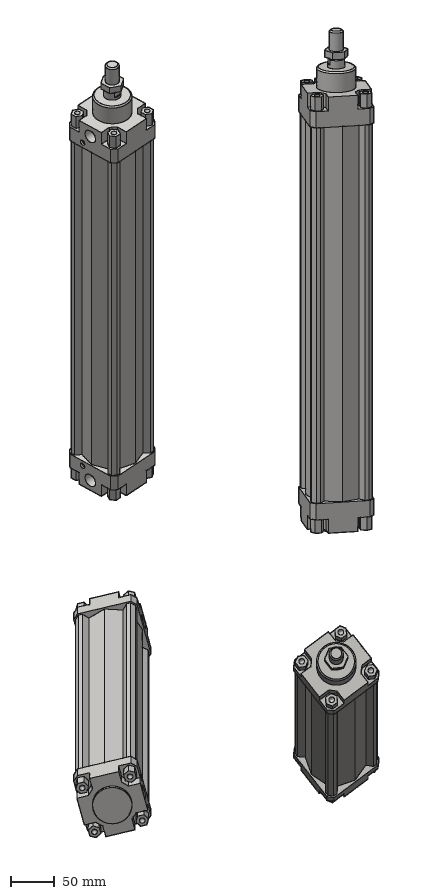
import cadquery as cq
import math

total_height = 594.0
rear_collar_height = 4.0
shoulder_z = 525.5
front_collar_top_z = 550.0
thread_start_z = 562.0

cap_width = 75.0
cap_height = 36.0
cap_corner_chamfer = 6.0
collar_diameter = 45.0
collar_chamfer = 2.0

pocket_depth = 16.5
pocket_inner_edge = 17.0
pocket_inner_chamfer = 6.5
screw_spacing = 56.5
screw_head_flats = 13.0
screw_recess_diameter = 6.5

port_diameter = 16.0
port_depth = 12.0
port_from_shoulder = 14.0
cushion_diameter = 6.5
cushion_depth = 3.0
cushion_offset_x = -12.0
cushion_from_shoulder = 29.0

tube_width = 71.0
tube_corner_chamfer = 5.0
pad_inner_edge = 26.0
groove_bottom_x = 20.0
groove_depth = 6.5

rod_diameter = 20.0
rod_flats = 17.0
flats_start_z = 553.5
thread_diameter = 16.0
thread_chamfer = 2.0

nut_flats = 24.0
nut_height = 8.5

half_cap = cap_width / 2
half_tube = tube_width / 2
half_screw_spacing = screw_spacing / 2
middle_z = (rear_collar_height + shoulder_z) / 2


def across_corners(across_flats):
    """Corner-to-corner size of a hexagon."""
    return across_flats / math.cos(math.pi / 6)


def make_corner_pocket():
    """Pocket at the (+X, +Y) corner of the front cap, with its inner corner cut off."""
    inner = pocket_inner_edge
    bevel = pocket_inner_edge + pocket_inner_chamfer
    return (
        cq.Workplane("XY", origin=(0, 0, shoulder_z - pocket_depth))
        .polyline([(inner, bevel), (bevel, inner), (half_cap, inner), (half_cap, half_cap), (inner, half_cap)])
        .close()
        .extrude(pocket_depth)
    )


def make_screw_head():
    """Hexagonal head with a conical recess in its top, standing in the (+X, +Y) pocket."""
    head = (
        cq.Workplane("XY", origin=(half_screw_spacing, half_screw_spacing, shoulder_z - pocket_depth))
        .polygon(6, across_corners(screw_head_flats))
        .extrude(pocket_depth)
    )
    recess_radius = screw_recess_diameter / 2
    recess = cq.Solid.makeCone(
        recess_radius,
        0,
        recess_radius,
        pnt=cq.Vector(half_screw_spacing, half_screw_spacing, shoulder_z),
        dir=cq.Vector(0, 0, -1),
    )
    return head.cut(cq.Workplane(obj=recess))


def drill_front_side(body, x, z, diameter, depth):
    """Blind hole from the -Y side of a cap."""
    hole = cq.Workplane("XZ", origin=(x, depth - half_cap, z)).circle(diameter / 2).extrude(depth)
    return body.cut(hole)


def make_front_cap():
    """Front cap without its collar; the rear cap is its mirror image."""
    cap = (
        cq.Workplane("XY", origin=(0, 0, shoulder_z - cap_height))
        .rect(cap_width, cap_width)
        .extrude(cap_height)
        .edges("|Z")
        .chamfer(cap_corner_chamfer)
    )
    pocket = make_corner_pocket()
    screw_head = make_screw_head()
    for corner in range(4):
        turn = 90 * corner
        cap = cap.cut(pocket.rotate((0, 0, 0), (0, 0, 1), turn))
        cap = cap.union(screw_head.rotate((0, 0, 0), (0, 0, 1), turn))
    cap = drill_front_side(cap, 0, shoulder_z - port_from_shoulder, port_diameter, port_depth)
    return drill_front_side(
        cap, cushion_offset_x, shoulder_z - cushion_from_shoulder, cushion_diameter, cushion_depth
    )


def make_tube():
    """Square profile with a shallow ridged groove along each side."""
    pad_outer_edge = half_tube - tube_corner_chamfer
    side = [
        (-pad_outer_edge, -half_tube),
        (-pad_inner_edge, -half_tube),
        (-groove_bottom_x, groove_depth - half_tube),
        (0, -half_tube),
        (groove_bottom_x, groove_depth - half_tube),
        (pad_inner_edge, -half_tube),
        (pad_outer_edge, -half_tube),
    ]
    outline = []
    for _ in range(4):
        outline += side
        side = [(-y, x) for x, y in side]
    tube_start_z = rear_collar_height + cap_height
    tube_length = shoulder_z - cap_height - tube_start_z
    return cq.Workplane("XY", origin=(0, 0, tube_start_z)).polyline(outline).close().extrude(tube_length)


def make_collars():
    """Plain rear collar and chamfered front collar."""
    collar_radius = collar_diameter / 2
    rear = cq.Workplane("XY").circle(collar_radius).extrude(rear_collar_height)
    front = (
        cq.Workplane("XY", origin=(0, 0, shoulder_z))
        .circle(collar_radius)
        .extrude(front_collar_top_z - shoulder_z)
        .faces(">Z")
        .chamfer(collar_chamfer)
    )
    return rear, front


def make_housing():
    front_cap = make_front_cap()
    rear_cap = front_cap.mirror("XY", (0, 0, middle_z))
    rear_collar, front_collar = make_collars()
    return make_tube().union(front_cap).union(rear_cap).union(rear_collar).union(front_collar)


def make_rod_step(diameter, start_z, end_z, top_chamfer):
    return (
        cq.Workplane("XY", origin=(0, 0, start_z))
        .circle(diameter / 2)
        .extrude(end_z - start_z)
        .faces(">Z")
        .chamfer(top_chamfer)
    )


def make_rod():
    """Rod end standing on the front collar, with wrench flats facing +X and -X below the thread."""
    taper = (rod_diameter - thread_diameter) / 2
    shank = make_rod_step(rod_diameter, front_collar_top_z, thread_start_z, taper)
    for side in (-1, 1):
        flat_cutter = (
            cq.Workplane("XY", origin=(side * rod_diameter, 0, flats_start_z))
            .rect(2 * rod_diameter - rod_flats, rod_diameter)
            .extrude(thread_start_z - flats_start_z)
        )
        shank = shank.cut(flat_cutter)
    thread = make_rod_step(thread_diameter, thread_start_z, total_height, thread_chamfer)
    return shank.union(thread)


def make_nut():
    """Hexagonal nut resting on the foot of the thread, with two corners along X."""
    return (
        cq.Workplane("XY", origin=(0, 0, thread_start_z))
        .polygon(6, across_corners(nut_flats))
        .circle(thread_diameter / 2)
        .extrude(nut_height)
    )


housing = make_housing()
rod = make_rod()
nut = make_nut()

result = cq.Compound.makeCompound([housing.val(), rod.val(), nut.val()])